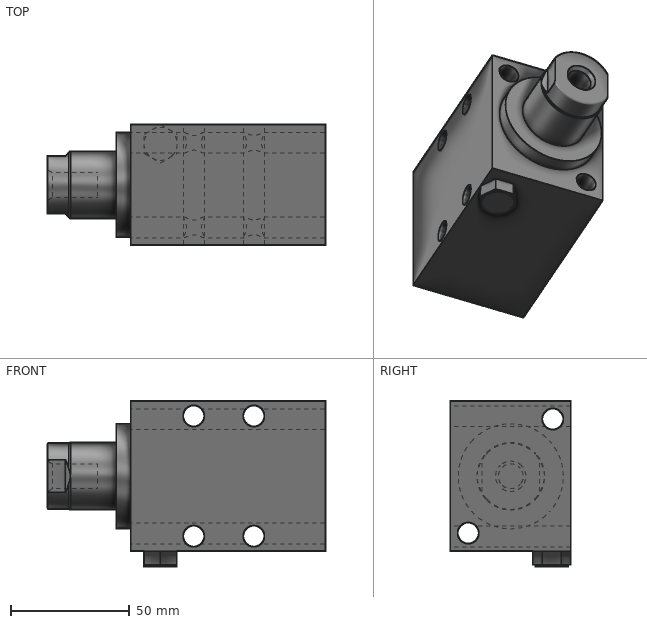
import cadquery as cq
import math

total_length = 117.5

block_length = 82.3
block_width = 51.0
block_height = 63.4
block_front = total_length - block_length

cross_hole_diameter = 8.8
cross_hole_pitch_x = 25.4
cross_hole_pitch_z = 50.7
first_cross_hole_x = block_front + 26.7

long_hole_diameter = 8.8
long_hole_edge = 7.6
long_hole_y = block_width / 2 - long_hole_edge
long_hole_z = block_height / 2 - long_hole_edge

flange_diameter = 44.4
flange_thickness = 6.1
rod_diameter = 28.5
tip_diameter = 28.0
tip_length = 9.0
shoulder_length = 0.7
tip_fillet = 0.7

flat_width = 24.4
flat_length = 7.6

bore_diameter = 10.5
bore_mouth_diameter = 12.8
bore_lip_diameter = 12.1
bore_lip_depth = 0.7
bore_mouth_depth = 2.0
bore_depth = 21.1

plug_flats = 14.0
plug_corners = plug_flats / math.cos(math.pi / 6)
plug_x = block_front + 12.6
plug_y = block_width / 2 - plug_corners / 2
plug_hex_height = 5.8
plug_rim_height = 0.8


def make_block():
    """Block with its cross holes and lengthwise holes."""
    block = cq.Workplane("XY").box(block_length, block_width, block_height)
    block = block.translate((block_front + block_length / 2, 0, 0))
    cross_holes = (
        cq.Workplane("XZ")
        .center(first_cross_hole_x + cross_hole_pitch_x / 2, 0)
        .rarray(cross_hole_pitch_x, cross_hole_pitch_z, 2, 2)
        .circle(cross_hole_diameter / 2)
        .extrude(block_width, both=True)
    )
    long_holes = (
        cq.Workplane("YZ", origin=(block_front, 0, 0))
        .pushPoints([(long_hole_y, long_hole_z), (-long_hole_y, -long_hole_z)])
        .circle(long_hole_diameter / 2)
        .extrude(block_length)
    )
    return block.cut(cross_holes).cut(long_holes)


def make_rod():
    """Flange and rod with a rounded tip, a sloped shoulder, flats and a bore."""
    rod_radius = rod_diameter / 2
    tip_radius = tip_diameter / 2
    flange_radius = flange_diameter / 2
    flange_front = block_front - flange_thickness
    rod = (
        cq.Workplane("XY")
        .lineTo(0, tip_radius - tip_fillet)
        .radiusArc((tip_fillet, tip_radius), tip_fillet)
        .lineTo(tip_length, tip_radius)
        .lineTo(tip_length + shoulder_length, rod_radius)
        .lineTo(flange_front, rod_radius)
        .lineTo(flange_front, flange_radius)
        .lineTo(block_front, flange_radius)
        .lineTo(block_front, 0)
        .close()
        .revolve(360, (0, 0, 0), (1, 0, 0))
    )

    half_flat = flat_width / 2
    slope_rise = rod_diameter - half_flat
    flat_cutter = (
        cq.Workplane("XY")
        .moveTo(0, half_flat)
        .lineTo(flat_length, half_flat)
        .lineTo(flat_length + slope_rise, rod_diameter)
        .lineTo(0, rod_diameter)
        .close()
        .extrude(rod_diameter, both=True)
    )
    rod = rod.cut(flat_cutter).cut(flat_cutter.mirror("XZ"))

    bore_radius = bore_diameter / 2
    bore = (
        cq.Workplane("XY")
        .lineTo(0, bore_mouth_diameter / 2)
        .lineTo(bore_lip_depth, bore_lip_diameter / 2)
        .lineTo(bore_mouth_depth, bore_radius)
        .lineTo(bore_depth, bore_radius)
        .lineTo(bore_depth, 0)
        .close()
        .revolve(360, (0, 0, 0), (1, 0, 0))
    )
    return rod.cut(bore)


def make_plug():
    """Hexagonal plug, corners along Y, with a round rim below it."""
    plug = (
        cq.Workplane("XY")
        .polygon(6, plug_corners)
        .extrude(-plug_hex_height)
        .rotate((0, 0, 0), (0, 0, 1), 90)
    )
    rim = cq.Workplane("XY").circle(plug_flats / 2).extrude(-plug_hex_height - plug_rim_height)
    return plug.union(rim).translate((plug_x, plug_y, -block_height / 2))


result = make_block().union(make_rod()).union(make_plug())